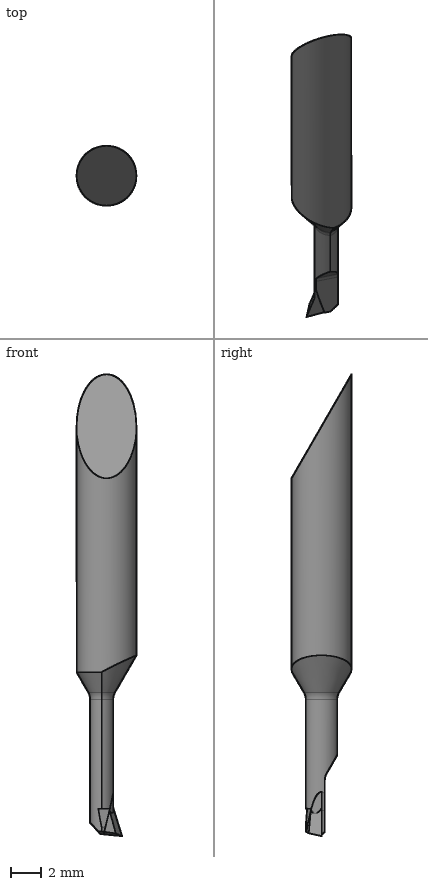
import cadquery as cq
import math

length = 30.7
shank_radius = 2.0
slope_angle = 30.0

neck_radius = 1.1
lens_offset = -0.65
neck_top = 9.12
blend_radius = 0.92
overrun = 0.3
cone_reach = 3.7

relief_y = 0.23
relief_top = 5.4
relief_fillet = 0.92

rake_y = 0.03
tip_x = 1.05
flank_top_x = 0.45
flank_top_z = 1.87
joint_apex = (0.2, -0.7, 1.72)
joint_foot = (-0.15, -1.05, 0.28)
facet_left = (-0.52, -0.98, 1.63)
facet_right = (0.77, -0.8, 0.23)
joint_top_z = 2.95
facet_top_z = 1.85
end_slope = 0.1
end_clearance = 0.17
corner_z = 0.92
corner_angle = 48.0
back_edge_z = 0.3

slope = math.tan(math.radians(slope_angle))
lens_middle = lens_offset / 2
neck_right = lens_offset + neck_radius


def half_space(point, normal):
    """Large block on the side of a plane that its normal points to."""
    block = 4 * length
    return cq.Workplane(cq.Plane(origin=point, normal=normal)).rect(block, block).extrude(block)


def normal_of(a, b, c):
    """Normal of the plane through three points."""
    start = cq.Vector(*a)
    normal = (cq.Vector(*b) - start).cross(cq.Vector(*c) - start)
    return normal.toTuple()


def neck_cylinder(axis_x):
    return cq.Workplane("XY").center(axis_x, 0).circle(neck_radius).extrude(neck_top)


def flared_bar(axis_x):
    """Cylinder that flares through a tangent blend into a cone."""
    half = math.radians(slope_angle / 2)
    full = math.radians(slope_angle)
    arc_center = neck_radius + blend_radius
    arc_middle = (arc_center - blend_radius * math.cos(half), neck_top + blend_radius * math.sin(half))
    arc_end = (arc_center - blend_radius * math.cos(full), neck_top + blend_radius * math.sin(full))
    cone_top = arc_end[1] + (cone_reach - arc_end[0]) / slope
    profile = (
        cq.Workplane("XZ")
        .lineTo(neck_radius, 0)
        .lineTo(neck_radius, neck_top)
        .threePointArc(arc_middle, arc_end)
        .lineTo(cone_reach, cone_top)
        .lineTo(cone_reach, length)
        .lineTo(0, length)
        .close()
    )
    return profile.revolve(360, (0, 0, 0), (0, 1, 0)).translate((axis_x, 0, 0))


def relief_cut():
    """Material removed behind the relief flat, with its filleted run-out."""
    lens_half_height = math.sqrt(neck_radius**2 - lens_middle**2)
    run_out_z = relief_top - (lens_half_height - relief_y) / slope
    outer_y = shank_radius
    outer_z = run_out_z + (outer_y - relief_y) / slope
    cut = (
        cq.Workplane("YZ")
        .polyline([(relief_y, -overrun), (outer_y, -overrun), (outer_y, outer_z), (relief_y, run_out_z)])
        .close()
        .extrude(shank_radius, both=True)
    )
    run_out_edge = cq.selectors.NearestToPointSelector((0, relief_y, run_out_z))
    return cut.edges(run_out_edge).fillet(relief_fillet)


def joint_prism():
    """Region to the right of the joint, running through along Y."""
    apex = (joint_apex[0], joint_apex[2])
    foot = (joint_foot[0], joint_foot[2])
    lean = (apex[0] - foot[0]) / (apex[1] - foot[1])
    low_z = -overrun
    low_x = foot[0] + (low_z - foot[1]) * lean
    outline = [(low_x, low_z), apex, (neck_right, joint_top_z), (shank_radius, joint_top_z), (shank_radius, low_z)]
    return cq.Workplane("XZ").polyline(outline).close().extrude(shank_radius, both=True)


def end_face_side():
    """Everything above the sloping end face."""
    return half_space((tip_x, rake_y, 0), (end_slope, end_clearance, 1))


def make_bar():
    bar = cq.Workplane("XY").circle(shank_radius).extrude(length)
    bar = bar.intersect(flared_bar(0)).intersect(flared_bar(lens_offset))
    bar = bar.cut(half_space((0, shank_radius, length), (0, -1, slope)))
    bar = bar.cut(relief_cut()).cut(joint_prism()).intersect(end_face_side())

    corner_tan = math.tan(math.radians(corner_angle))
    bar = bar.cut(half_space((-neck_radius, 0, corner_z), (-corner_tan, 0, -1)))
    bar = bar.cut(half_space((0, relief_y, back_edge_z), (0, 1, -1)))

    facet_normal = normal_of(joint_apex, facet_left, joint_foot)
    facet = half_space(joint_apex, facet_normal)
    below = half_space((0, 0, facet_top_z), (0, 0, -1))
    return bar.cut(facet.intersect(below))


def make_tip():
    wedge = cq.Workplane("XY").circle(neck_radius).extrude(joint_top_z)
    neck_part = neck_cylinder(lens_offset).intersect(neck_cylinder(0))

    flank_normal = normal_of((tip_x, rake_y, 0), (flank_top_x, rake_y, flank_top_z), joint_apex)
    flank = half_space((tip_x, rake_y, 0), flank_normal)
    tip = wedge.cut(flank).union(neck_part)
    tip = tip.cut(half_space(joint_apex, normal_of(joint_apex, joint_foot, facet_right)))
    tip = tip.intersect(joint_prism()).intersect(end_face_side())
    return tip.cut(half_space((0, rake_y, 0), (0, 1, 0)))


bar = make_bar()
tip = make_tip()
result = cq.Compound.makeCompound([bar.val(), tip.val()])